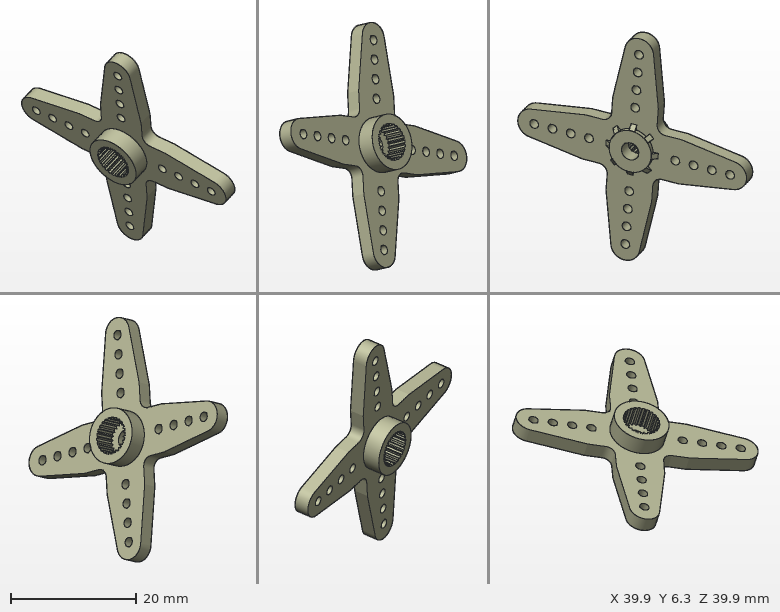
import cadquery as cq
import math


SPAN = 39.9
TILT = 4.0
ARM_COUNT = 4
PLATE_THICKNESS = 2.5

TIP_RADIUS = 2.5
TIP_DISTANCE = (SPAN / 2 - TIP_RADIUS) / math.cos(math.radians(TILT))
ARM_HALF_WIDTH = 4.0
SHOULDER_DISTANCE = 8.4
ROOT_FILLET = 1.5

HOLE_DIAMETER = 1.5
HOLE_COUNT = 4
HOLE_PITCH = 3.2
FIRST_HOLE_DISTANCE = 7.55

HUB_DIAMETER = 9.0
HUB_HEIGHT = 3.0
SOCKET_DEPTH = 3.6
SOCKET_RADIUS = 3.0
TOOTH_COUNT = 25
TOOTH_HEIGHT = 0.3
TOOTH_BASE = 0.4
SCREW_HOLE_DIAMETER = 3.0

COLLAR_DIAMETER = 7.35
COLLAR_HEIGHT = 0.8
RIB_COUNT = 8
RIB_WIDTH = 1.0
RIB_REACH = 4.55
RIB_STEP = 0.08


def turn(body, angle):
    """Turn a body about the hub axis, counter-clockwise seen from -Y."""
    return body.rotate((0, 0, 0), (0, -1, 0), angle)


def disc(diameter, y_start, length):
    """Cylinder on the hub axis, running from y_start towards +Y."""
    return cq.Workplane("XZ", origin=(0, y_start, 0)).circle(diameter / 2).extrude(-length)


def make_arm():
    """Arm along +X whose tapered sides run tangent into the round tip."""
    taper_length = TIP_DISTANCE - SHOULDER_DISTANCE
    shoulder_to_tip = math.hypot(taper_length, ARM_HALF_WIDTH)
    taper_angle = math.atan2(ARM_HALF_WIDTH, taper_length) - math.asin(TIP_RADIUS / shoulder_to_tip)
    tangent_x = TIP_DISTANCE + TIP_RADIUS * math.sin(taper_angle)
    tangent_z = TIP_RADIUS * math.cos(taper_angle)
    return (
        cq.Workplane("XZ")
        .moveTo(0, -ARM_HALF_WIDTH)
        .lineTo(SHOULDER_DISTANCE, -ARM_HALF_WIDTH)
        .lineTo(tangent_x, -tangent_z)
        .threePointArc((TIP_DISTANCE + TIP_RADIUS, 0), (tangent_x, tangent_z))
        .lineTo(SHOULDER_DISTANCE, ARM_HALF_WIDTH)
        .lineTo(0, ARM_HALF_WIDTH)
        .close()
        .extrude(-PLATE_THICKNESS)
    )


def make_arm_holes():
    """Row of linkage holes for the arm along +X."""
    centres = [(FIRST_HOLE_DISTANCE + i * HOLE_PITCH, 0) for i in range(HOLE_COUNT)]
    return cq.Workplane("XZ").pushPoints(centres).circle(HOLE_DIAMETER / 2).extrude(-PLATE_THICKNESS)


def make_plate():
    """Cross of arms with rounded inner corners and linkage holes."""
    arm_angles = [i * 360 / ARM_COUNT for i in range(ARM_COUNT)]
    plate = make_arm()
    for angle in arm_angles[1:]:
        plate = plate.union(turn(make_arm(), angle))
    for side_x in (-ARM_HALF_WIDTH, ARM_HALF_WIDTH):
        for side_z in (-ARM_HALF_WIDTH, ARM_HALF_WIDTH):
            inner_corner = cq.NearestToPointSelector((side_x, PLATE_THICKNESS / 2, side_z))
            plate = plate.edges("|Y").edges(inner_corner).fillet(ROOT_FILLET)
    for angle in arm_angles:
        plate = plate.cut(turn(make_arm_holes(), angle))
    return plate


def make_collar():
    """Back collar with ribs sloping from just below its rim down to the plate."""
    collar = disc(COLLAR_DIAMETER, PLATE_THICKNESS, COLLAR_HEIGHT)
    rib_top = PLATE_THICKNESS + COLLAR_HEIGHT - RIB_STEP
    rib = (
        cq.Workplane("XY")
        .moveTo(0, PLATE_THICKNESS)
        .lineTo(RIB_REACH, PLATE_THICKNESS)
        .lineTo(COLLAR_DIAMETER / 2, rib_top)
        .lineTo(0, rib_top)
        .close()
        .extrude(RIB_WIDTH / 2, both=True)
    )
    for i in range(RIB_COUNT):
        collar = collar.union(turn(rib, i * 360 / RIB_COUNT))
    return collar


def make_socket():
    """Hollow of the hub: a round bore less its ring of pointed spline teeth."""
    socket = disc(2 * SOCKET_RADIUS, -HUB_HEIGHT, SOCKET_DEPTH)
    base_radius = SOCKET_RADIUS + TOOTH_HEIGHT
    tooth = (
        cq.Workplane("XZ", origin=(0, -HUB_HEIGHT, 0))
        .moveTo(SOCKET_RADIUS - TOOTH_HEIGHT, 0)
        .lineTo(base_radius, TOOTH_BASE)
        .lineTo(base_radius, -TOOTH_BASE)
        .close()
        .extrude(-SOCKET_DEPTH)
    )
    for i in range(TOOTH_COUNT):
        socket = socket.cut(turn(tooth, i * 360 / TOOTH_COUNT))
    return socket


hub = disc(HUB_DIAMETER, -HUB_HEIGHT, HUB_HEIGHT)
screw_hole = disc(SCREW_HOLE_DIAMETER, 0, PLATE_THICKNESS + COLLAR_HEIGHT)

horn = make_plate().union(hub).union(make_collar())
horn = horn.cut(make_socket()).cut(screw_hole)
result = turn(horn, TILT)